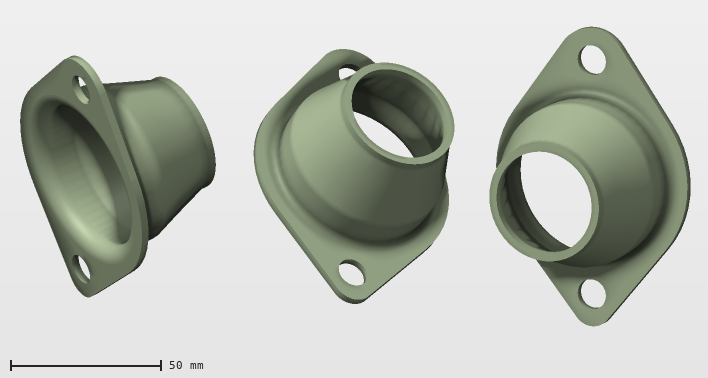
import cadquery as cq
import math

wall = 2.6

flange_height = 101.7
body_radius = 34.9
upper_ear_radius = 12.8
lower_ear_radius = 7.1
bolt_hole_diameter = 10.3
bolt_hole_offset = 40.0

total_depth = 40.6
mouth_radius = 61.0 / 2
throat_radius = 50.6 / 2
outlet_radius = 34.7 / 2
flare_radius = mouth_radius - throat_radius
cone_bend_start = 13.8
cone_bend_radius = 3.0
rim_bend_end = 38.5
rim_bend_radius = 5.6


def ear_tangent_points(ear_radius):
    """Right-hand tangent points on the body and ear circles, for an ear above the body."""
    centre = flange_height / 2 - ear_radius
    sine = (body_radius - ear_radius) / centre
    cosine = math.sqrt(1 - sine**2)
    body_point = (body_radius * cosine, body_radius * sine)
    ear_point = (ear_radius * cosine, centre + ear_radius * sine)
    return body_point, ear_point


def make_flange():
    (upper_x, upper_z), (top_x, top_z) = ear_tangent_points(upper_ear_radius)
    (lower_x, lower_z), (bottom_x, bottom_z) = ear_tangent_points(lower_ear_radius)
    outline = (
        cq.Workplane("XZ")
        .moveTo(upper_x, upper_z)
        .lineTo(top_x, top_z)
        .threePointArc((0, flange_height / 2), (-top_x, top_z))
        .lineTo(-upper_x, upper_z)
        .threePointArc((-body_radius, 0), (-lower_x, -lower_z))
        .lineTo(-bottom_x, -bottom_z)
        .threePointArc((0, -flange_height / 2), (bottom_x, -bottom_z))
        .lineTo(lower_x, -lower_z)
        .threePointArc((body_radius, 0), (upper_x, upper_z))
        .close()
    )
    bolt_holes = (
        cq.Workplane("XZ")
        .pushPoints([(0, bolt_hole_offset), (0, -bolt_hole_offset)])
        .circle(bolt_hole_diameter / 2)
        .extrude(-wall)
    )
    return outline.extrude(-wall).cut(bolt_holes)


cone_bend_centre = (throat_radius - cone_bend_radius, cone_bend_start)
rim_bend_centre = (outlet_radius + rim_bend_radius, rim_bend_end)

centre_step_out = rim_bend_centre[0] - cone_bend_centre[0]
centre_step_back = rim_bend_centre[1] - cone_bend_centre[1]
centre_distance = math.hypot(centre_step_out, centre_step_back)
cone_angle = math.asin((cone_bend_radius + rim_bend_radius) / centre_distance) - math.atan2(
    centre_step_out, centre_step_back
)


def point_on_circle(centre, radius, angle):
    return (centre[0] + radius * math.cos(angle), centre[1] + radius * math.sin(angle))


def make_funnel_solid(offset):
    """Solid of revolution about Y, its surface offset outward from the inner surface of the funnel."""
    flare_centre = (mouth_radius, flare_radius)
    flare = flare_radius - offset
    cone_bend = cone_bend_radius + offset
    rim_bend = rim_bend_radius - offset
    return (
        cq.Workplane("XY")
        .moveTo(0, offset)
        .lineTo(mouth_radius, offset)
        .threePointArc(
            point_on_circle(flare_centre, flare, math.radians(225)),
            (throat_radius + offset, flare_radius),
        )
        .lineTo(throat_radius + offset, cone_bend_start)
        .threePointArc(
            point_on_circle(cone_bend_centre, cone_bend, cone_angle / 2),
            point_on_circle(cone_bend_centre, cone_bend, cone_angle),
        )
        .lineTo(*point_on_circle(rim_bend_centre, rim_bend, math.pi + cone_angle))
        .threePointArc(
            point_on_circle(rim_bend_centre, rim_bend, math.pi + cone_angle / 2),
            (outlet_radius + offset, rim_bend_end),
        )
        .lineTo(outlet_radius + offset, total_depth)
        .lineTo(0, total_depth)
        .close()
        .revolve(360, (0, 0), (0, 1))
    )


funnel = make_funnel_solid(wall)
bore = make_funnel_solid(0)
result = make_flange().union(funnel).cut(bore)